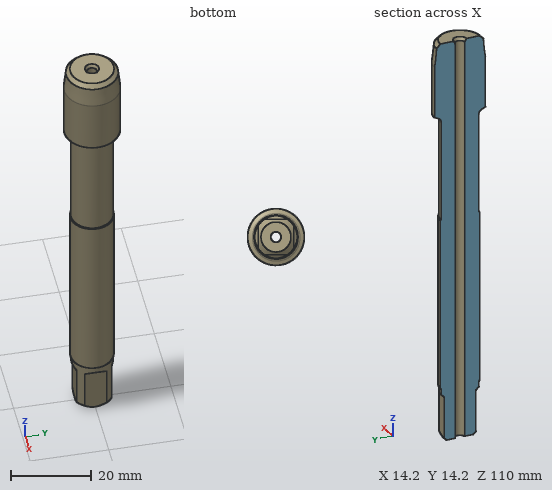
import cadquery as cq

length = 110.0

head_radius = 14.2 / 2
nose_radius = 13.1 / 2
top_radius = 11.0 / 2
top_chamfer_height = 1.1
nose_height = 6.0
head_base_z = 89.9
head_base_chamfer_radius = 11.9 / 2
head_base_chamfer_height = 0.5

neck_radius = 10.7 / 2
neck_fillet_end_z = 88.2
fillet_pull = 0.3
shank_radius = 11.0 / 2
shank_top_z = 61.4
shank_bottom_z = 14.4
shank_chamfer = 0.2

drive_radius = 10.6 / 2
drive_end_chamfer = 1.5
across_flats = 8.9
flat_top_z = 12.1

bore_radius = 2.5 / 2
countersink_radius = 3.5 / 2
countersink_depth = 0.9


def turned_body():
    """Revolve the half profile of the whole tool about Z."""
    fillet_start_z = head_base_z - head_base_chamfer_height
    fillet_mid_radius = neck_radius + fillet_pull * (head_base_chamfer_radius - neck_radius)
    fillet_mid_z = fillet_start_z - fillet_pull * (fillet_start_z - neck_fillet_end_z)
    profile = (
        cq.Workplane("XZ")
        .lineTo(drive_radius - drive_end_chamfer, 0)
        .lineTo(drive_radius, drive_end_chamfer)
        .lineTo(drive_radius, shank_bottom_z)
        .lineTo(shank_radius, shank_bottom_z + shank_chamfer)
        .lineTo(shank_radius, shank_top_z - shank_chamfer)
        .lineTo(neck_radius, shank_top_z)
        .lineTo(neck_radius, neck_fillet_end_z)
        .threePointArc((fillet_mid_radius, fillet_mid_z), (head_base_chamfer_radius, fillet_start_z))
        .lineTo(head_radius, head_base_z)
        .lineTo(head_radius, length - nose_height)
        .lineTo(nose_radius, length - top_chamfer_height)
        .lineTo(top_radius, length)
        .lineTo(0, length)
        .close()
    )
    return profile.revolve(360, (0, 0, 0), (0, 1, 0))


def flat_cutter():
    """Block that mills the +X flat, ending in a 45 degree run-out at its top."""
    inner_x = across_flats / 2
    outer_x = shank_radius
    return (
        cq.Workplane("XZ")
        .moveTo(inner_x, 0)
        .lineTo(outer_x, 0)
        .lineTo(outer_x, flat_top_z + outer_x - inner_x)
        .lineTo(inner_x, flat_top_z)
        .close()
        .extrude(shank_radius, both=True)
    )


def coolant_bore():
    """Through bore with a conical countersink in the top face."""
    return (
        cq.Workplane("XZ")
        .lineTo(bore_radius, 0)
        .lineTo(bore_radius, length - countersink_depth)
        .lineTo(countersink_radius, length)
        .lineTo(0, length)
        .close()
        .revolve(360, (0, 0, 0), (0, 1, 0))
    )


result = turned_body()
for angle in (0, 90, 180, 270):
    result = result.cut(flat_cutter().rotate((0, 0, 0), (0, 0, 1), angle))
result = result.cut(coolant_bore())